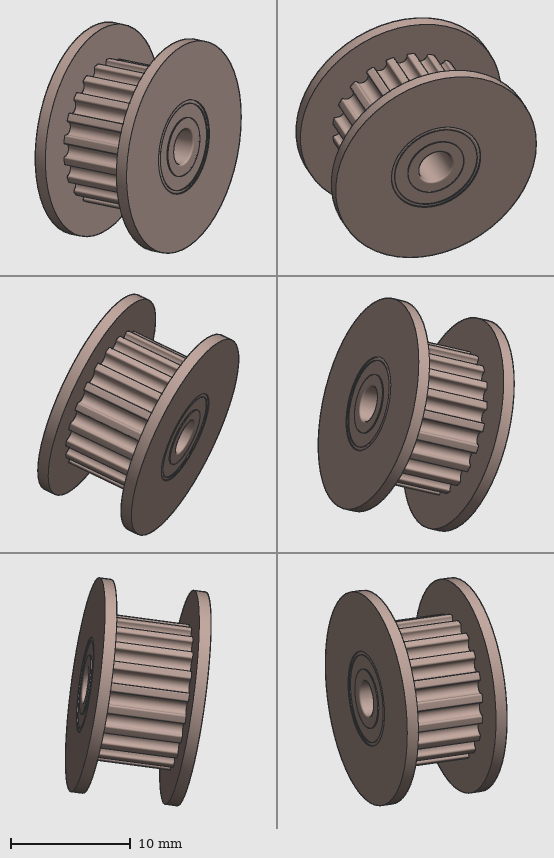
import cadquery as cq
import math

flange_diameter = 18.0
pulley_width = 9.0
flange_thickness = 1.0
face_x = -pulley_width / 2
flange_inner_x = face_x + flange_thickness

tooth_count = 20
rim_diameter = 12.22
groove_depth = 0.75
groove_radius = 0.55
tooth_tip_radius = 0.15

bearing_diameter = 8.0
bore_diameter = 3.0
bearing_edge_radius = 0.15
shield_outer_diameter = 7.4
shield_inner_diameter = 5.0
shield_recess = 0.1


def disc(diameter, start_x, end_x):
    """Round disc about the X axis."""
    return cq.Workplane("YZ").workplane(offset=start_x).circle(diameter / 2).extrude(end_x - start_x)


def polar_point(radius, angle):
    """Point of the YZ plane; the angle is measured from +Y towards +Z."""
    return (radius * math.cos(angle), radius * math.sin(angle))


def toothed_rim():
    """Rim whose round-bottomed grooves run smoothly into rounded tooth tips."""
    rim_radius = rim_diameter / 2
    half_pitch = math.pi / tooth_count

    groove_centre = rim_radius - groove_depth + groove_radius
    tip_centre = rim_radius - tooth_tip_radius
    centre_gap = groove_radius + tooth_tip_radius
    tip_angle = math.acos(
        (groove_centre**2 + tip_centre**2 - centre_gap**2) / (2 * groove_centre * tip_centre)
    )

    tip_y, tip_z = polar_point(tip_centre, tip_angle)
    groove_share = groove_radius / centre_gap
    joint_y = groove_centre + groove_share * (tip_y - groove_centre)
    joint_z = groove_share * tip_z
    joint_radius = math.hypot(joint_y, joint_z)
    joint_angle = math.atan2(joint_z, joint_y)

    outline = cq.Workplane("YZ").workplane(offset=flange_inner_x)
    outline = outline.moveTo(*polar_point(rim_radius, tip_angle - 2 * half_pitch))
    for index in range(tooth_count):
        groove_angle = index * 2 * half_pitch
        land_middle = polar_point(rim_radius, groove_angle - half_pitch)
        land_end = polar_point(rim_radius, groove_angle - tip_angle)
        groove_start = polar_point(joint_radius, groove_angle - joint_angle)
        groove_bottom = polar_point(rim_radius - groove_depth, groove_angle)
        groove_end = polar_point(joint_radius, groove_angle + joint_angle)
        next_land = polar_point(rim_radius, groove_angle + tip_angle)
        outline = (
            outline.threePointArc(land_middle, land_end)
            .tangentArcPoint(groove_start, relative=False)
            .threePointArc(groove_bottom, groove_end)
            .tangentArcPoint(next_land, relative=False)
        )
    return outline.close().extrude(-2 * flange_inner_x)


def rounded_edge_cut(edge_radius, arc_radius, outward):
    """Ring that rounds a circular edge of the -X face; outward is +1 for a rim and -1 for a bore."""
    inset_radius = edge_radius - outward * arc_radius
    arc_middle = (
        face_x + arc_radius * (1 - math.sqrt(0.5)),
        inset_radius + outward * arc_radius * math.sqrt(0.5),
    )
    return (
        cq.Workplane("XY")
        .moveTo(face_x, inset_radius)
        .threePointArc(arc_middle, (face_x + arc_radius, edge_radius))
        .lineTo(face_x, edge_radius)
        .close()
        .revolve(360, (0, 0, 0), (1, 0, 0))
    )


def bearing_face_cut():
    """Material removed at the -X face: rounded bearing edges and sunken shield."""
    outer_edge = rounded_edge_cut(bearing_diameter / 2, bearing_edge_radius, 1)
    bore_edge = rounded_edge_cut(bore_diameter / 2, bearing_edge_radius, -1)
    shield_x = face_x + shield_recess
    shield = disc(shield_outer_diameter, face_x, shield_x).cut(
        disc(shield_inner_diameter, face_x, shield_x)
    )
    return outer_edge.union(bore_edge).union(shield)


flange = disc(flange_diameter, face_x, flange_inner_x)
pulley = toothed_rim().union(flange).union(flange.mirror("YZ"))
pulley = pulley.cut(disc(bore_diameter, face_x, -face_x))

face_cut = bearing_face_cut()
result = pulley.cut(face_cut).cut(face_cut.mirror("YZ"))